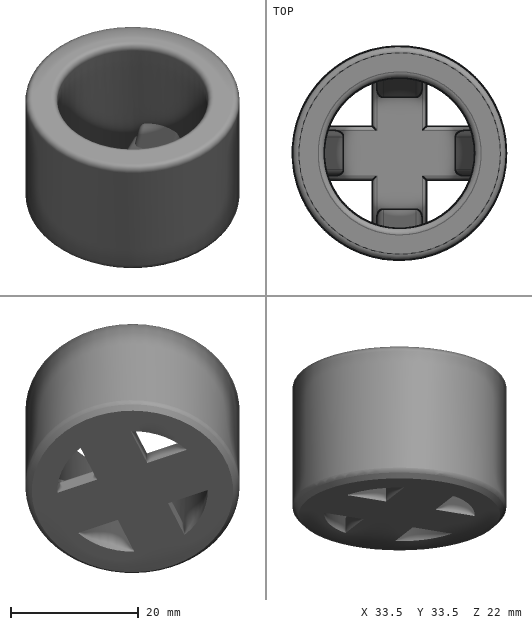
import cadquery as cq
import math

outer_diameter = 33.5
bore_diameter = 23.5
height = 22.0
rim_fillet = 1.0
foot_chamfer = 1.0
foot_fillet = 1.0

arm_count = 4
arm_width = 8.5
floor_thickness = 3.0
arm_fillet = 0.7

wedge_width = arm_width - 2 * arm_fillet
wedge_reach = 3.0
wedge_slope = 45.0
wedge_fillet = 1.0

outer_radius = outer_diameter / 2
bore_radius = bore_diameter / 2
wedge_toe_radius = bore_radius - wedge_reach
embed_radius = (outer_radius + bore_radius) / 2
edge_tolerance = 0.01


def turn(shape, steps):
    """Turn a shape about the Z axis from one arm to another."""
    return shape.rotate((0, 0, 0), (0, 0, 1), steps * 360 / arm_count)


def make_sleeve():
    """Round sleeve with rounded upper rims and a chamfered, blended foot."""
    body = cq.Workplane("XY").circle(outer_radius).extrude(height)
    body = body.faces("<Z").edges().chamfer(foot_chamfer)
    chamfer_top = cq.selectors.BoxSelector(
        (-outer_diameter, -outer_diameter, foot_chamfer - edge_tolerance),
        (outer_diameter, outer_diameter, foot_chamfer + edge_tolerance),
        boundingbox=True,
    )
    body = body.edges(chamfer_top).fillet(foot_fillet)
    bore = cq.Workplane("XY").circle(bore_radius).extrude(height)
    return body.cut(bore).faces(">Z").edges().fillet(rim_fillet)


def make_cross():
    """Two crossing bars with rounded upper edges, ending inside the wall."""
    bar_length = 2 * embed_radius
    bar = cq.Workplane("XY").rect(bar_length, arm_width).extrude(floor_thickness)
    bar = bar.edges("|X and >Z").fillet(arm_fillet)
    return bar.union(turn(bar, 1))


def make_wedge():
    """Wedge on the +X arm, rising from its toe into the wall, with rounded sloping edges."""
    rise = (embed_radius - wedge_toe_radius) * math.tan(math.radians(wedge_slope))
    wedge = (
        cq.Workplane("XZ")
        .moveTo(wedge_toe_radius, floor_thickness)
        .lineTo(embed_radius, floor_thickness)
        .lineTo(embed_radius, floor_thickness + rise)
        .close()
        .extrude(wedge_width / 2, both=True)
    )
    return wedge.edges("not(|X or |Y or |Z)").fillet(wedge_fillet)


result = make_sleeve().union(make_cross())
wedge = make_wedge()
for quarter in range(arm_count):
    result = result.union(turn(wedge, quarter))